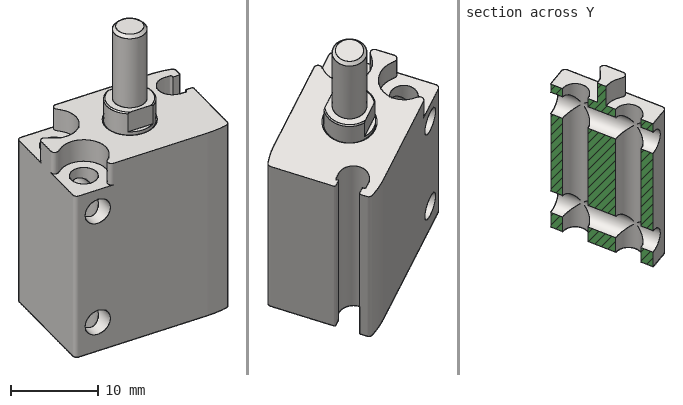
import cadquery as cq
import math

width = 13.5
depth = 20.5
height = 25.5
front_round = 0.5
back_arc_length = 3.0
back_arc_radius = 11.0
back_round = 0.5

hole_diameter = 3.3
hole_x = 3.5
hole_y = 3.0
cross_hole_heights = (4.0, 19.5)
pocket_diameter = 5.8
pocket_depth = 3.0
nose_radius = 0.5
foot_nose_x = 1.1
shoulder_nose_y = 5.1

slot_x = -hole_x
slot_diameter = 3.7
slot_center_y = depth - 1.9
throat_width = 2.93
throat_depth = 1.0
slot_round = 0.2

rod_y = 11.0
total_height = 38.5
rod_diameter = 4.0
rod_tip_chamfer = 0.4
collar_diameter = 6.0
collar_rise = 3.0
collar_chamfer = 0.15
collar_insertion = 3.0
flats_width = 5.0
flats_bottom = height + 0.35
bore_chamfer = 0.15


def make_block():
    """Block whose sides curve inward near the back face."""
    half = width / 2
    arc_start_y = depth - back_arc_length
    drop = math.sqrt(back_arc_radius**2 - back_arc_length**2)
    half_drop = math.sqrt(back_arc_radius**2 - (back_arc_length / 2) ** 2)
    back_x = half - back_arc_radius + drop
    middle_x = half - back_arc_radius + half_drop
    middle_y = arc_start_y + back_arc_length / 2
    block = (
        cq.Workplane("XY")
        .moveTo(-half, 0)
        .lineTo(half, 0)
        .lineTo(half, arc_start_y)
        .threePointArc((middle_x, middle_y), (back_x, depth))
        .lineTo(-back_x, depth)
        .threePointArc((-middle_x, middle_y), (-half, arc_start_y))
        .close()
        .extrude(height)
    )
    block = block.edges("|Z and <Y").fillet(front_round)
    return block.edges("|Z and >Y").fillet(back_round)


def polar(center, radius, angle):
    """Point at a distance and angle (radians) from a centre."""
    return (center[0] + radius * math.cos(angle), center[1] + radius * math.sin(angle))


def make_pocket(side):
    """Corner pocket cutter around one mounting hole; side is -1 or 1.

    A circular seat runs by tangent lines into the round noses of the web and of the side wall.
    """
    seat = (hole_x, hole_y)
    seat_radius = pocket_diameter / 2
    foot = (foot_nose_x, nose_radius)
    shoulder = (width / 2 - nose_radius, shoulder_nose_y)

    tangent_sum = seat_radius + nose_radius
    foot_angle = math.atan2(foot[1] - seat[1], foot[0] - seat[0])
    foot_angle -= math.acos(tangent_sum / math.dist(seat, foot))
    shoulder_angle = math.atan2(shoulder[1] - seat[1], shoulder[0] - seat[0])
    shoulder_angle += math.acos(tangent_sum / math.dist(seat, shoulder))

    foot_end_angle = foot_angle + math.pi
    foot_middle_angle = (foot_end_angle - math.pi / 2) / 2
    shoulder_start_angle = shoulder_angle + math.pi
    shoulder_middle_angle = (shoulder_start_angle + 2 * math.pi) / 2
    seat_middle_angle = (foot_angle + 2 * math.pi + shoulder_angle) / 2

    pocket = (
        cq.Workplane("XY", origin=(0, 0, height - pocket_depth))
        .moveTo(foot_nose_x, 0)
        .threePointArc(
            polar(foot, nose_radius, foot_middle_angle),
            polar(foot, nose_radius, foot_end_angle),
        )
        .lineTo(*polar(seat, seat_radius, foot_angle))
        .threePointArc(
            polar(seat, seat_radius, seat_middle_angle),
            polar(seat, seat_radius, shoulder_angle),
        )
        .lineTo(*polar(shoulder, nose_radius, shoulder_start_angle))
        .threePointArc(
            polar(shoulder, nose_radius, shoulder_middle_angle),
            (width / 2, shoulder_nose_y),
        )
        .lineTo(width / 2, 0)
        .close()
        .extrude(pocket_depth)
    )
    return pocket if side > 0 else pocket.mirror("YZ")


def make_slot():
    """Full-height keyhole slot cutter with rounded shoulders."""
    shoulder_y = depth - throat_depth
    channel = (
        cq.Workplane("XY")
        .moveTo(slot_x - slot_diameter / 2, shoulder_y)
        .lineTo(slot_x - slot_diameter / 2, slot_center_y)
        .threePointArc(
            (slot_x, slot_center_y - slot_diameter / 2),
            (slot_x + slot_diameter / 2, slot_center_y),
        )
        .lineTo(slot_x + slot_diameter / 2, shoulder_y)
        .close()
        .extrude(height)
        .edges("|Z and >Y")
        .fillet(slot_round)
    )
    throat = (
        cq.Workplane("XY")
        .center(slot_x, (slot_center_y + depth) / 2)
        .rect(throat_width, depth - slot_center_y)
        .extrude(height)
    )
    return channel.union(throat)


def round_slot_mouth(housing):
    """Round the two lips where the throat opens through the back face."""
    for side in (-1, 1):
        edge_center = (slot_x + side * throat_width / 2, depth, height / 2)
        lip = cq.NearestToPointSelector(edge_center)
        housing = housing.edges("|Z").edges(lip).fillet(slot_round)
    return housing


def make_rod_bore():
    """Blind bore cutter that fits the collar, with a chamfered mouth."""
    bore = (
        cq.Workplane("XY", origin=(0, rod_y, height - collar_insertion))
        .circle(collar_diameter / 2)
        .extrude(collar_insertion)
    )
    mouth = cq.Workplane("XY").add(
        cq.Solid.makeCone(
            collar_diameter / 2,
            collar_diameter / 2 + bore_chamfer,
            bore_chamfer,
            pnt=cq.Vector(0, rod_y, height - bore_chamfer),
        )
    )
    return bore.union(mouth)


def make_housing():
    housing = make_block()
    for side in (-1, 1):
        housing = housing.cut(make_pocket(side))
    housing = round_slot_mouth(housing.cut(make_slot()))

    upright_holes = (
        cq.Workplane("XY")
        .pushPoints([(-hole_x, hole_y), (hole_x, hole_y)])
        .circle(hole_diameter / 2)
        .extrude(height)
    )
    cross_holes = (
        cq.Workplane("YZ", origin=(-width / 2, 0, 0))
        .pushPoints([(hole_y, z) for z in cross_hole_heights])
        .circle(hole_diameter / 2)
        .extrude(width)
    )
    return housing.cut(upright_holes).cut(cross_holes).cut(make_rod_bore())


def make_piston_rod():
    """Rod with a collar that has two wrench flats facing -X and +X."""
    collar_top = height + collar_rise
    collar = (
        cq.Workplane("XY", origin=(0, rod_y, height - collar_insertion))
        .circle(collar_diameter / 2)
        .extrude(collar_insertion + collar_rise)
        .faces(">Z")
        .chamfer(collar_chamfer)
    )
    for side in (-1, 1):
        flat = (
            cq.Workplane("XY", origin=(0, rod_y, flats_bottom))
            .center(side * (flats_width + collar_diameter) / 2, 0)
            .rect(collar_diameter, collar_diameter)
            .extrude(collar_top - flats_bottom)
        )
        collar = collar.cut(flat)
    shank = (
        cq.Workplane("XY", origin=(0, rod_y, collar_top))
        .circle(rod_diameter / 2)
        .extrude(total_height - collar_top)
        .faces(">Z")
        .chamfer(rod_tip_chamfer)
    )
    return collar.union(shank)


housing = make_housing()
piston_rod = make_piston_rod()
result = cq.Compound.makeCompound([housing.solids().val(), piston_rod.solids().val()])